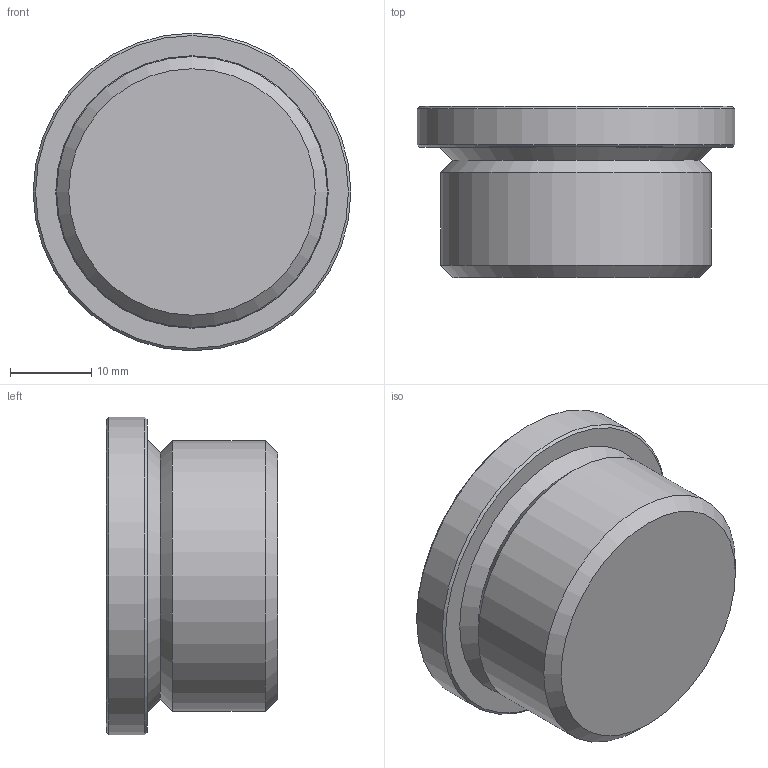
import cadquery as cq

total_length = 21.0
flange_diameter = 39.0
flange_thickness = 5.0
flange_chamfer = 0.3
barrel_diameter = 33.25
barrel_chamfer = 1.5
groove_depth = 1.5
groove_flange_side = 1.6

flange_radius = flange_diameter / 2
barrel_radius = barrel_diameter / 2
groove_radius = barrel_radius - groove_depth
groove_flange_radius = groove_radius + groove_flange_side

front_y = -total_length
flange_front_y = -flange_thickness
groove_y = flange_front_y - groove_flange_side
barrel_start_y = groove_y - groove_depth


def turned_profile():
    """Half section of the plug, with radius along X and the axis along Y."""
    return (
        cq.Workplane("XY")
        .moveTo(0, 0)
        .lineTo(flange_radius - flange_chamfer, 0)
        .lineTo(flange_radius, -flange_chamfer)
        .lineTo(flange_radius, flange_front_y + flange_chamfer)
        .lineTo(flange_radius - flange_chamfer, flange_front_y)
        .lineTo(groove_flange_radius, flange_front_y)
        .lineTo(groove_radius, groove_y)
        .lineTo(barrel_radius, barrel_start_y)
        .lineTo(barrel_radius, front_y + barrel_chamfer)
        .lineTo(barrel_radius - barrel_chamfer, front_y)
        .lineTo(0, front_y)
        .close()
    )


result = turned_profile().revolve(360, (0, 0, 0), (0, 1, 0))